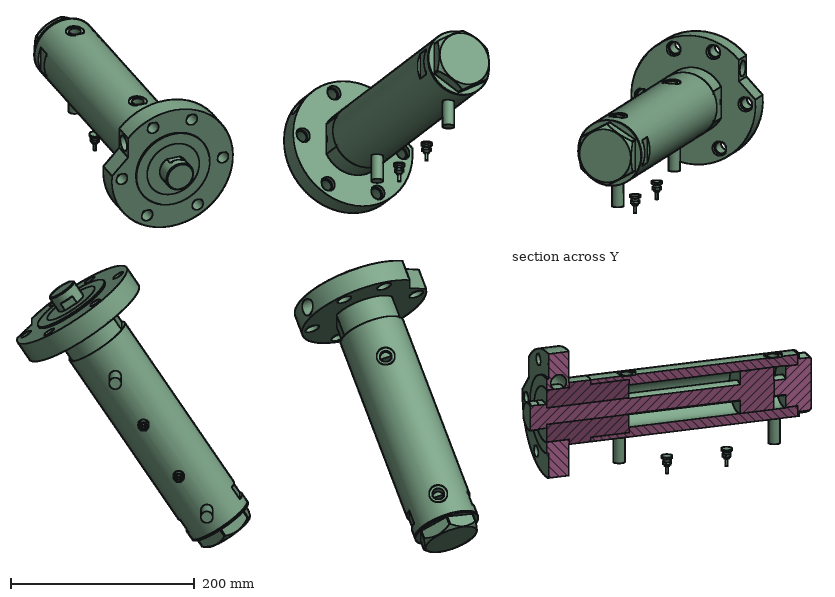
import cadquery as cq
import math


HEX_LENGTH = 14.0
RIM_THICKNESS = 2.0
TUBE_START = HEX_LENGTH + RIM_THICKNESS
TUBE_END = 257.0
NECK_LENGTH = 25.5
FLANGE_THICKNESS = 24.0
COLLAR_THICKNESS = 2.0
FLANGE_START = TUBE_END + NECK_LENGTH
FLANGE_END = FLANGE_START + FLANGE_THICKNESS
COLLAR_END = FLANGE_END + COLLAR_THICKNESS
OVERALL_LENGTH = 327.5

TUBE_RADIUS = 36.5
BORE_RADIUS = 25.0
SPIGOT_RADIUS = 31.0
SHAFT_RADIUS = 11.5

HEX_ACROSS_FLATS = 60.0
HEX_CORNER_RADIUS = 34.25
HEX_FACE_RADIUS = 29.5
CAP_SPIGOT_LENGTH = 14.0
PISTON_START = 43.25

PORT_POSITIONS = (42.0, 212.5)
PORT_RADIUS = 6.5
PORT_SEAT_RADIUS = 10.0
PORT_SEAT_DEPTH = 1.5
STUB_POSITIONS = (40.5, 221.25)
STUB_RADIUS = 6.5
STUB_BOTTOM = -65.0
TUBE_FLAT_START = 26.0
TUBE_FLAT_LENGTH = 16.0
TUBE_FLAT_DEPTH = 3.0

NECK_ACROSS_FLATS = 64.0
HEAD_START = PORT_POSITIONS[1]

FLANGE_RADIUS = 72.0
COLLAR_RADIUS = 43.5
NOTCH_FACE = -52.75
NOTCH_CORNER_HEIGHT = 25.25
SIDE_PORT_HEIGHT = 37.0
SIDE_PORT_RADIUS = 8.75
BOLT_CIRCLE_RADIUS = 60.0
BOLT_ANGLES = (0.0, 67.5, 112.5, 180.0, 240.0, 300.0)
BOLT_HOLE_RADIUS = 6.5
BOLT_RECESS_RADIUS = 8.0
BOLT_RECESS_DEPTH = 6.0

PISTON_LENGTH = 40.0
ROD_END_RADIUS = 16.0
ROD_END_CHAMFER = 1.0
ROD_ACROSS_FLATS = 28.0
ROD_FLAT_LENGTH = 9.0

PLUG_POSITIONS = (96.0, 165.5)
PLUG_TOP = STUB_BOTTOM
PLUG_HEAD_RADIUS = 6.0
PLUG_HEAD_THICKNESS = 2.0
PLUG_WAIST_RADIUS = 4.0
PLUG_WAIST_TOP = 3.5
PLUG_NUT_TOP = 6.0
PLUG_NUT_BOTTOM = 9.0
PLUG_NUT_CORNER_RADIUS = 5.0
PLUG_CONE_BOTTOM = 11.5
PLUG_CONE_RADIUS = 2.5
PLUG_CABLE_RADIUS = 1.5
PLUG_LENGTH = 20.0


def cylinder_along_x(start, end, radius):
    plane = cq.Plane(origin=(start, 0, 0), xDir=(0, 0, 1), normal=(1, 0, 0))
    return cq.Workplane(plane).circle(radius).extrude(end - start)


def box_between(x_range, y_range, z_range):
    (x0, x1), (y0, y1), (z0, z1) = x_range, y_range, z_range
    return cq.Workplane("XY").box(x1 - x0, y1 - y0, z1 - z0, centered=False).translate((x0, y0, z0))


def slabs(x_start, x_end, half_gap, axis):
    """Two blocks that leave a gap of twice half_gap along Y or Z, for cutting opposite flats."""
    reach = 2 * TUBE_RADIUS
    wide = (-reach, reach)
    cutters = cq.Workplane("XY")
    for outside in ((half_gap, reach), (-reach, -half_gap)):
        y_range, z_range = (outside, wide) if axis == "Y" else (wide, outside)
        cutters = cutters.add(box_between((x_start, x_end), y_range, z_range))
    return cutters.combine()


def make_cap():
    across_corners = HEX_ACROSS_FLATS / math.cos(math.pi / 6)
    hexagon = (
        cq.Workplane("YZ")
        .polygon(6, across_corners)
        .extrude(HEX_LENGTH)
        .rotate((0, 0, 0), (1, 0, 0), 90)
    )
    turned_blank = cylinder_along_x(0, HEX_LENGTH, HEX_CORNER_RADIUS)
    turned_blank = turned_blank.faces("<X").chamfer(HEX_CORNER_RADIUS - HEX_FACE_RADIUS)
    cap = hexagon.intersect(turned_blank)
    cap = cap.union(cylinder_along_x(HEX_LENGTH, TUBE_START, TUBE_RADIUS))
    cap = cap.union(cylinder_along_x(TUBE_START, TUBE_START + CAP_SPIGOT_LENGTH, BORE_RADIUS))
    return cap.union(cylinder_along_x(TUBE_START, PISTON_START, SHAFT_RADIUS))


def make_tube():
    tube = cylinder_along_x(TUBE_START, TUBE_END, TUBE_RADIUS)
    for x in STUB_POSITIONS:
        stub = cq.Workplane("XY", origin=(x, 0, STUB_BOTTOM)).circle(STUB_RADIUS).extrude(-STUB_BOTTOM)
        tube = tube.union(stub)
    tube = tube.cut(cylinder_along_x(TUBE_START, TUBE_END, BORE_RADIUS))
    tube = tube.cut(cylinder_along_x(HEAD_START, TUBE_END, SPIGOT_RADIUS))
    for x in PORT_POSITIONS:
        port = cq.Workplane("XY", origin=(x, 0, 0)).circle(PORT_RADIUS).extrude(TUBE_RADIUS)
        seat = (
            cq.Workplane("XY", origin=(x, 0, TUBE_RADIUS - PORT_SEAT_DEPTH))
            .circle(PORT_SEAT_RADIUS)
            .extrude(PORT_SEAT_DEPTH)
        )
        tube = tube.cut(port).cut(seat)
    flat_end = TUBE_FLAT_START + TUBE_FLAT_LENGTH
    return tube.cut(slabs(TUBE_FLAT_START, flat_end, TUBE_RADIUS - TUBE_FLAT_DEPTH, "Y"))


def make_head():
    neck = cylinder_along_x(TUBE_END, FLANGE_START, TUBE_RADIUS)
    neck = neck.cut(slabs(TUBE_END, FLANGE_START, NECK_ACROSS_FLATS / 2, "Y"))
    head = neck.union(cylinder_along_x(HEAD_START, COLLAR_END, SPIGOT_RADIUS))
    return head.cut(cylinder_along_x(HEAD_START, COLLAR_END, SHAFT_RADIUS))


def make_flange():
    flange = cylinder_along_x(FLANGE_START, FLANGE_END, FLANGE_RADIUS)
    flange = flange.union(cylinder_along_x(FLANGE_END, COLLAR_END, COLLAR_RADIUS))

    outside = -FLANGE_RADIUS
    notch_outline = [
        (NOTCH_FACE, FLANGE_RADIUS),
        (NOTCH_FACE, NOTCH_CORNER_HEIGHT),
        (outside, NOTCH_CORNER_HEIGHT + outside - NOTCH_FACE),
        (outside, FLANGE_RADIUS),
    ]
    notch = cq.Workplane("YZ", origin=(FLANGE_START, 0, 0)).polyline(notch_outline).close()
    flange = flange.cut(notch.extrude(FLANGE_THICKNESS))

    side_port = (
        cq.Workplane("XZ", origin=(FLANGE_START + FLANGE_THICKNESS / 2, FLANGE_RADIUS, SIDE_PORT_HEIGHT))
        .circle(SIDE_PORT_RADIUS)
        .extrude(2 * FLANGE_RADIUS)
    )
    flange = flange.cut(side_port)

    for angle in BOLT_ANGLES:
        y = BOLT_CIRCLE_RADIUS * math.cos(math.radians(angle))
        z = BOLT_CIRCLE_RADIUS * math.sin(math.radians(angle))
        hole = cylinder_along_x(FLANGE_START, FLANGE_END, BOLT_HOLE_RADIUS)
        recess = cylinder_along_x(FLANGE_START, FLANGE_START + BOLT_RECESS_DEPTH, BOLT_RECESS_RADIUS)
        flange = flange.cut(hole.union(recess).translate((0, y, z)))

    return flange.cut(cylinder_along_x(FLANGE_START, COLLAR_END, SPIGOT_RADIUS))


def make_rod():
    piston = cylinder_along_x(PISTON_START, PISTON_START + PISTON_LENGTH, BORE_RADIUS)
    shaft = cylinder_along_x(PISTON_START, OVERALL_LENGTH, SHAFT_RADIUS)
    rod_end = cylinder_along_x(COLLAR_END, OVERALL_LENGTH, ROD_END_RADIUS)
    rod_end = rod_end.faces(">X").chamfer(ROD_END_CHAMFER)
    rod_end = rod_end.cut(slabs(COLLAR_END, COLLAR_END + ROD_FLAT_LENGTH, ROD_ACROSS_FLATS / 2, "Z"))
    return piston.union(shaft).union(rod_end)


def make_plug(x):
    outline = [
        (0, 0),
        (PLUG_HEAD_RADIUS, 0),
        (PLUG_HEAD_RADIUS, -PLUG_HEAD_THICKNESS),
        (PLUG_WAIST_RADIUS, -PLUG_WAIST_TOP),
        (PLUG_WAIST_RADIUS, -PLUG_NUT_BOTTOM),
        (PLUG_CONE_RADIUS, -PLUG_CONE_BOTTOM),
        (PLUG_CABLE_RADIUS, -PLUG_CONE_BOTTOM),
        (PLUG_CABLE_RADIUS, -PLUG_LENGTH),
        (0, -PLUG_LENGTH),
    ]
    turned = cq.Workplane("XZ").polyline(outline).close().revolve(360, (0, 0, 0), (0, 1, 0))
    nut = (
        cq.Workplane("XY", origin=(0, 0, -PLUG_NUT_BOTTOM))
        .polygon(6, 2 * PLUG_NUT_CORNER_RADIUS)
        .extrude(PLUG_NUT_BOTTOM - PLUG_NUT_TOP)
    )
    return turned.union(nut).translate((x, 0, PLUG_TOP))


cap = make_cap()
tube = make_tube()
head = make_head()
flange = make_flange()
rod = make_rod()
plugs = [make_plug(x) for x in PLUG_POSITIONS]

result = cq.Compound.makeCompound(
    [cap.val(), tube.val(), head.val(), flange.val(), rod.val(), *[plug.val() for plug in plugs]]
)